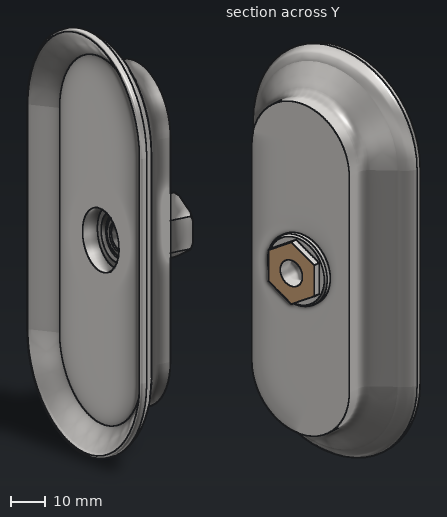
import cadquery as cq
import math

straight_length = 68.0
lip_radius = 30.0
neck_radius = 18.0
body_height = 18.0

lip_edge_radius = 0.7
lip_top_y = 1.9
bevel_top_y = 2.75
bevel_top_radius = 29.6
shoulder_y = 5.95
shoulder_radius = 26.1
shoulder_arc_radius = 6.5
neck_arc_radius = 3.9
neck_arc_y = 14.0
cone_top_y = 10.8

mouth_land_radius = 29.1
mouth_radius = 28.4
mouth_y = 0.6
floor_radius = 21.45
floor_y = 5.9

collar_diameter = 22.0
collar_height = 2.0
collar_chamfer = 0.6
hex_across_flats = 17.0
hex_height = 12.01
hex_edge_chamfer = 0.7

recess_diameter = 19.0
recess_depth = 5.1
groove_mouth_diameter = 15.1
groove_diameter = 13.16
bore_land_diameter = 11.45
bore_land_depth = 0.8
bore_diameter = 8.0
bore_chamfer = 0.4

recess_floor_y = floor_y + recess_depth
bore_land_y = recess_floor_y + bore_land_depth
collar_y = body_height + collar_height
top_y = collar_y + hex_height


def oblong(profile):
    """Carry a half profile, drawn as radius along X and height along Y, around the oblong cup outline."""
    outline = profile.val()
    half_length = straight_length / 2
    side = cq.Workplane("XY").add(outline).toPending().extrude(half_length, both=True)
    end = cq.Workplane("XY").add(outline).toPending().revolve(180, (0, 0, 0), (0, -1, 0))
    end = end.translate((0, 0, half_length))
    return side.union(side.mirror("YZ")).union(end).union(end.mirror("XY"))


def disc(diameter, start_y, end_y):
    """Cylinder on the cup axis between two heights."""
    return cq.Workplane("XZ", origin=(0, start_y, 0)).circle(diameter / 2).extrude(start_y - end_y)


def ring_cut(points):
    """Solid of revolution about the cup axis from (radius, Y) points."""
    return cq.Workplane("XY").polyline(points).close().revolve(360, (0, 0, 0), (0, 1, 0))


def cup_outside():
    arc_drop = neck_arc_y - cone_top_y
    cone_top_radius = neck_radius + neck_arc_radius - math.sqrt(neck_arc_radius**2 - arc_drop**2)
    profile = (
        cq.Workplane("XY")
        .lineTo(lip_radius - lip_edge_radius, 0)
        .radiusArc((lip_radius, lip_edge_radius), -lip_edge_radius)
        .lineTo(lip_radius, lip_top_y)
        .lineTo(bevel_top_radius, bevel_top_y)
        .radiusArc((shoulder_radius, shoulder_y), -shoulder_arc_radius)
        .lineTo(cone_top_radius, cone_top_y)
        .radiusArc((neck_radius, neck_arc_y), neck_arc_radius)
        .lineTo(neck_radius, body_height)
        .lineTo(0, body_height)
        .close()
    )
    return oblong(profile)


def cup_inside():
    profile = (
        cq.Workplane("XY")
        .lineTo(mouth_land_radius, 0)
        .lineTo(mouth_radius, mouth_y)
        .lineTo(floor_radius, floor_y)
        .lineTo(0, floor_y)
        .close()
    )
    return oblong(profile)


def hex_fitting():
    collar = disc(collar_diameter, body_height, collar_y).faces(">Y").edges().chamfer(collar_chamfer)
    across_corners = hex_across_flats / math.cos(math.pi / 6)
    nut = (
        cq.Workplane("XZ", origin=(0, collar_y, 0))
        .transformed(rotate=(0, 0, 90))
        .polygon(6, across_corners)
        .extrude(-hex_height)
    )
    envelope = disc(across_corners, collar_y, top_y).faces(">Y").edges().chamfer(hex_edge_chamfer)
    return collar.union(nut.intersect(envelope))


def bore_and_groove():
    """Cutter for the through bore, its flat land and the groove with 45 degree flanks around the land."""
    bore_radius = bore_diameter / 2
    land_radius = bore_land_diameter / 2
    groove_radius = groove_diameter / 2
    groove_mouth_radius = groove_mouth_diameter / 2
    return ring_cut([
        (0, recess_floor_y),
        (groove_mouth_radius, recess_floor_y),
        (groove_radius, recess_floor_y + groove_mouth_radius - groove_radius),
        (groove_radius, bore_land_y + groove_radius - land_radius),
        (land_radius, bore_land_y),
        (bore_radius + bore_chamfer, bore_land_y),
        (bore_radius, bore_land_y + bore_chamfer),
        (bore_radius, top_y),
        (0, top_y),
    ])


cup = cup_outside().cut(cup_inside())
recess = disc(recess_diameter, 0, recess_floor_y)
result = cup.union(hex_fitting()).cut(recess).cut(bore_and_groove())